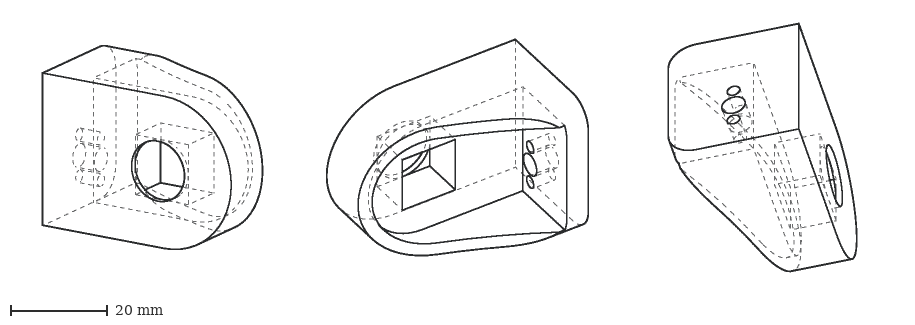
import cadquery as cq

length = 46.4
depth = 28.0
height = 33.0
mid_z = height / 2
end_radius = height / 2
end_center_x = length - end_radius
corner_radius = 6.0

slope_start_x = 5.35
slope_mid_x = 19.02
slope_mid_y = 20.95
tip_depth = 12.0

wall = 3.0
cavity_floor_y = 11.15

bore_x = 28.4
bore_diameter = 13.0
recess_side = bore_diameter
front_plate = 1.4

cable_hole_diameter = 5.0
screw_hole_diameter = 2.7
holes_y = depth / 2
cable_hole_z = 11.55
screw_spacing = 4.5


def rounded_end_prism(start_x, radius, start_y, end_y):
    """Prism along Y with a flat left end and a half-round right end."""
    return (
        cq.Workplane("XZ", origin=(0, start_y, 0))
        .moveTo(start_x, mid_z - radius)
        .lineTo(end_center_x, mid_z - radius)
        .threePointArc((end_center_x + radius, mid_z), (end_center_x, mid_z + radius))
        .lineTo(start_x, mid_z + radius)
        .close()
        .extrude(start_y - end_y)
    )


def side_profile():
    """Depth profile with the concave back, extruded over the full height."""
    return (
        cq.Workplane("XY")
        .lineTo(length, 0)
        .lineTo(length, tip_depth)
        .threePointArc((slope_mid_x, slope_mid_y), (slope_start_x, depth))
        .lineTo(0, depth)
        .close()
        .extrude(height)
    )


def rounded_block():
    """Envelope with its two long back edges rounded."""
    block = cq.Workplane("XY").box(length, depth, height, centered=False)
    return block.edges("|X and >Y").fillet(corner_radius)


def end_wall_hole(diameter, z):
    """Hole along X from the flat end into the cavity."""
    return (
        cq.Workplane("YZ")
        .center(holes_y, z)
        .circle(diameter / 2)
        .extrude(slope_start_x)
    )


body = rounded_end_prism(0, end_radius, 0, depth)
body = body.intersect(rounded_block()).intersect(side_profile())

cavity = rounded_end_prism(slope_start_x, end_radius - wall, cavity_floor_y, depth)
body = body.cut(cavity)

recess = (
    cq.Workplane("XZ", origin=(bore_x, front_plate, mid_z))
    .rect(recess_side, recess_side)
    .extrude(front_plate - cavity_floor_y)
)
bore = (
    cq.Workplane("XZ", origin=(bore_x, 0, mid_z))
    .circle(bore_diameter / 2)
    .extrude(-cavity_floor_y)
)
body = body.cut(recess).cut(bore)

body = body.cut(end_wall_hole(cable_hole_diameter, cable_hole_z))
for side in (-1, 1):
    screw_z = cable_hole_z + side * screw_spacing
    body = body.cut(end_wall_hole(screw_hole_diameter, screw_z))

result = body